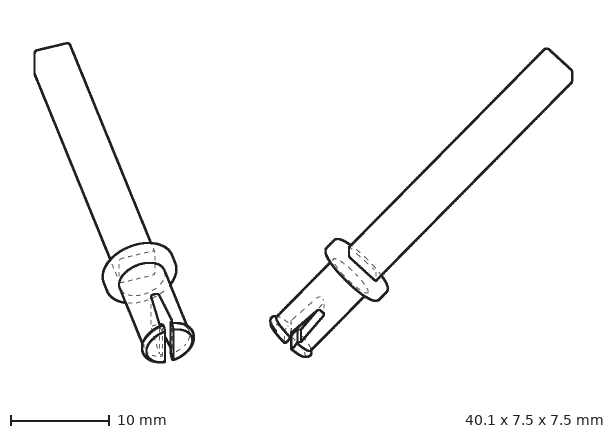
import cadquery as cq

total_length = 40.1
flange_start = 29.1
flange_thickness = 1.72
lip_width = 0.85
flange_end = flange_start + flange_thickness
lip_start = total_length - lip_width

bar_side = 3.8
bar_round = 0.35

flange_diameter = 7.5
flange_round = 0.32
shank_diameter = 4.9
lip_diameter = 5.5
lip_crown_width = 0.65
lip_shoulder_diameter = 5.35

slot_start = 35.1
slot_root_half = 0.4
slot_neck_half = 0.45
slot_wide_half = 0.7
slot_corner_round = 0.25
neck_start = 39.15
neck_taper_length = 0.25


def disc(start, end, diameter):
    """Cylinder on the X axis between two X positions."""
    return cq.Workplane("YZ").workplane(offset=start).circle(diameter / 2).extrude(end - start)


def make_bar():
    """Square bar with rounded long edges and a rounded tip."""
    bar = cq.Workplane("YZ").rect(bar_side, bar_side).extrude(flange_start)
    return bar.edges("|X or <X").fillet(bar_round)


def make_flange():
    return disc(flange_start, flange_end, flange_diameter).edges().fillet(flange_round)


def make_lip():
    """Revolved lip with a rounded crown and a conical lead-in at the end."""
    shank_radius = shank_diameter / 2
    crown_peak = (lip_start + lip_crown_width / 2, lip_diameter / 2)
    crown_end = (lip_start + lip_crown_width, lip_shoulder_diameter / 2)
    profile = (
        cq.Workplane("XY")
        .moveTo(lip_start, 0)
        .lineTo(lip_start, shank_radius)
        .threePointArc(crown_peak, crown_end)
        .lineTo(total_length, shank_radius)
        .lineTo(total_length, 0)
        .close()
    )
    return profile.revolve(360, (0, 0, 0), (1, 0, 0))


def make_slot():
    """Cutter that widens toward the lip and then necks in, passing through along Z."""
    upper_side = [
        (slot_start, slot_root_half),
        (neck_start - neck_taper_length, slot_wide_half),
        (neck_start, slot_neck_half),
        (total_length, slot_neck_half),
    ]
    lower_side = [(x, -y) for x, y in reversed(upper_side)]
    cutter = cq.Workplane("XY").polyline(upper_side + lower_side).close()
    cutter = cutter.extrude(lip_diameter, both=True)
    return cutter.edges("|Z and <X").fillet(slot_corner_round)


shank = disc(flange_end, total_length, shank_diameter)
result = make_bar().union(make_flange()).union(shank).union(make_lip()).cut(make_slot())